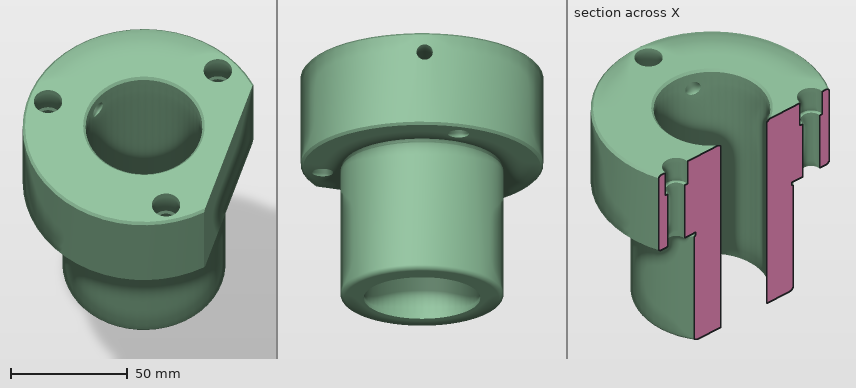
import cadquery as cq
import math

flange_diameter = 103.9
flange_height = 42.0
total_height = 102.0
flat_distance = 38.0
edge_chamfer = 1.0

barrel_diameter = 69.9
barrel_end_radius = 2.0
neck_depth = 0.6
neck_length = 1.2
neck_taper_length = 0.7
bore_diameter = 50.0

bolt_circle_radius = 43.0
bolt_angles = (60, 180, 300)
bolt_hole_diameter = 9.0
counterbore_diameter = 12.2
counterbore_depth = 12.5

port_diameter = 7.0
port_drop = 9.0
port_angle = 160

flange_radius = flange_diameter / 2
barrel_radius = barrel_diameter / 2
flange_bottom = total_height - flange_height


def make_flange():
    """Chamfered disc with a flat cut across its +X side."""
    disc = (
        cq.Workplane("XY", origin=(0, 0, flange_bottom))
        .circle(flange_radius)
        .extrude(flange_height)
        .edges()
        .chamfer(edge_chamfer)
    )
    kept_side = cq.Workplane("XY").box(
        flange_radius + flat_distance, flange_diameter, total_height, centered=(False, True, False)
    ).translate((-flange_radius, 0, 0))
    return disc.intersect(kept_side)


def make_barrel():
    """Revolved barrel with a rounded lower end and a relief neck at the flange."""
    neck_radius = barrel_radius - neck_depth
    neck_bottom = flange_bottom - neck_length
    profile = (
        cq.Workplane("XZ")
        .lineTo(barrel_radius, 0)
        .lineTo(barrel_radius, neck_bottom - neck_taper_length)
        .lineTo(neck_radius, neck_bottom)
        .lineTo(neck_radius, flange_bottom)
        .lineTo(0, flange_bottom)
        .close()
    )
    barrel = profile.revolve(360, (0, 0, 0), (0, 1, 0))
    return barrel.faces("<Z").edges().fillet(barrel_end_radius)


def cut_bore(body):
    """Through bore, chamfered at the top face."""
    bore_radius = bore_diameter / 2
    bore = (
        cq.Workplane("XZ")
        .lineTo(bore_radius, 0)
        .lineTo(bore_radius, total_height - edge_chamfer)
        .lineTo(bore_radius + edge_chamfer, total_height)
        .lineTo(0, total_height)
        .close()
        .revolve(360, (0, 0, 0), (0, 1, 0))
    )
    return body.cut(bore)


def cut_bolt_holes(body):
    """Counterbored holes through the flange on the bolt circle."""
    centers = [
        (
            bolt_circle_radius * math.cos(math.radians(angle)),
            bolt_circle_radius * math.sin(math.radians(angle)),
        )
        for angle in bolt_angles
    ]
    return (
        cq.Workplane("XY", origin=(0, 0, total_height))
        .add(body)
        .pushPoints(centers)
        .cboreHole(bolt_hole_diameter, counterbore_diameter, counterbore_depth)
    )


def cut_port(body):
    """Radial hole through the flange wall into the bore."""
    angle = math.radians(port_angle)
    outward = cq.Vector(math.cos(angle), math.sin(angle), 0)
    axis_point = cq.Vector(0, 0, total_height - port_drop)
    port = cq.Solid.makeCylinder(port_diameter / 2, flange_radius, axis_point, outward)
    return body.cut(cq.Workplane(port))


result = make_flange().union(make_barrel())
result = cut_bore(result)
result = cut_bolt_holes(result)
result = cut_port(result)